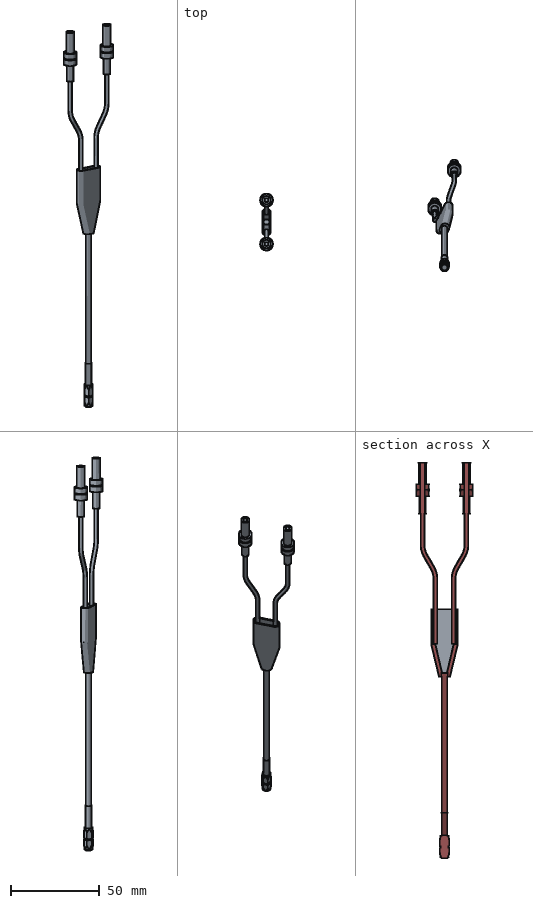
import cadquery as cq
import math

total_length = 222.7
overall_width = 32.0
collar_diameter = 7.3
lead_offset = (overall_width - collar_diameter) / 2

collar_top = 210.7
collar_middle = 207.3
collar_bottom = 203.8
collar_chamfer = 0.33
plug_nose_diameter = 4.7
barrel_diameter = 4.0
barrel_bottom = 194.0

wire_diameter = 2.2
wire_end_offset = 5.1
bend_radius = 12.7
bend_angle = 30.0
bend_top = 176.5

splitter_top = 140.3
splitter_knee = 120.7
splitter_bottom = 102.2
splitter_thickness = 5.0
neck_width = 6.2
cavity_thickness = 3.3
throat_floor_width = 2.7

cable_diameter = 3.3
ferrule_diameter = 3.5
cable_bottom = 25.5
cable_insertion = 2.2
cable_top = splitter_bottom + cable_insertion

head_top = 13.0
hex_across_flats = 4.7
hex_across_corners = hex_across_flats / math.cos(math.pi / 6)
groove_diameter = 4.0
hex_top = 12.2
groove_top = 7.1
groove_bottom = 5.8
hex_bottom = 1.3
hex_chamfer = 1.8
tip_chamfer = 0.7


def revolved(profile, offset):
    """Revolve (radius, z) points about the vertical axis at Y = offset."""
    points = [(-radius, z) for radius, z in profile]
    solid = cq.Workplane("XZ").polyline(points).close().revolve(360, (0, 0), (0, 1))
    return solid.translate((0, offset, 0))


def rod(diameter, bottom, top):
    """Solid round bar on the central axis."""
    radius = diameter / 2
    return revolved([(0, bottom), (radius, bottom), (radius, top), (0, top)], 0)


def plug_front(offset):
    """Nose and upper half of the collar, bored for the wire."""
    bore = wire_diameter / 2
    nose = plug_nose_diameter / 2
    collar = collar_diameter / 2
    return revolved(
        [
            (bore, collar_middle),
            (collar - collar_chamfer, collar_middle),
            (collar, collar_middle + collar_chamfer),
            (collar, collar_top),
            (nose, collar_top),
            (nose, total_length),
            (bore, total_length),
        ],
        offset,
    )


def plug_rear(offset):
    """Barrel and lower half of the collar, bored for the wire."""
    bore = wire_diameter / 2
    barrel = barrel_diameter / 2
    collar = collar_diameter / 2
    return revolved(
        [
            (bore, barrel_bottom),
            (barrel, barrel_bottom),
            (barrel, collar_bottom),
            (collar, collar_bottom),
            (collar, collar_middle - collar_chamfer),
            (collar - collar_chamfer, collar_middle),
            (bore, collar_middle),
        ],
        offset,
    )


def wire(side):
    """Round wire with an S-bend from the plug to the splitter; side is +1 or -1 along Y."""
    angle = math.radians(bend_angle)
    arc_shift = bend_radius * (1 - math.cos(angle))
    arc_drop = bend_radius * math.sin(angle)
    slant_shift = lead_offset - wire_end_offset - 2 * arc_shift
    slant_drop = slant_shift / math.tan(angle)
    half_shift = bend_radius * (1 - math.cos(angle / 2))
    half_drop = bend_radius * math.sin(angle / 2)
    slant_top = bend_top - arc_drop
    slant_bottom = slant_top - slant_drop
    bend_bottom = slant_bottom - arc_drop
    path = (
        cq.Workplane("YZ")
        .moveTo(side * lead_offset, total_length)
        .lineTo(side * lead_offset, bend_top)
        .threePointArc(
            (side * (lead_offset - half_shift), bend_top - half_drop),
            (side * (lead_offset - arc_shift), slant_top),
        )
        .lineTo(side * (wire_end_offset + arc_shift), slant_bottom)
        .threePointArc(
            (side * (wire_end_offset + half_shift), bend_bottom + half_drop),
            (side * wire_end_offset, bend_bottom),
        )
        .lineTo(side * wire_end_offset, splitter_knee)
    )
    start = cq.Workplane("XY", origin=(0, side * lead_offset, total_length))
    return start.circle(wire_diameter / 2).sweep(path)


def slot_column(thickness):
    """Upright round-sided column above the knee, its side axes in line with the wire ends."""
    return (
        cq.Workplane("XY", origin=(0, 0, splitter_knee))
        .slot2D(2 * wire_end_offset + thickness, thickness, 90)
        .extrude(splitter_top - splitter_knee)
    )


def splitter():
    """Hollow splitter: open at the top for the wires, tapered below the knee to the cable."""
    taper = (
        cq.Workplane("XY", origin=(0, 0, splitter_bottom))
        .slot2D(neck_width, splitter_thickness, 90)
        .workplane(offset=splitter_knee - splitter_bottom)
        .slot2D(2 * wire_end_offset + splitter_thickness, splitter_thickness, 90)
        .loft(ruled=True)
    )
    throat = (
        cq.Workplane("YZ")
        .polyline(
            [
                (-throat_floor_width / 2, cable_top),
                (throat_floor_width / 2, cable_top),
                (wire_end_offset, splitter_knee),
                (-wire_end_offset, splitter_knee),
            ]
        )
        .close()
        .extrude(cavity_thickness / 2, both=True)
    )
    cable_socket = rod(cable_diameter, splitter_bottom, cable_top)
    shell = slot_column(splitter_thickness).union(taper)
    return shell.cut(slot_column(cavity_thickness)).cut(throat).cut(cable_socket)


def head():
    """Two hexagonal bands with chamfered corners, parted by a V-groove, on round ends."""
    corner = hex_across_corners / 2
    groove = groove_diameter / 2
    flat = hex_across_flats / 2
    envelope = revolved(
        [
            (0, 0),
            (flat - tip_chamfer, 0),
            (flat, tip_chamfer),
            (flat, hex_bottom),
            (corner, hex_bottom + hex_chamfer),
            (corner, groove_bottom),
            (groove, (groove_bottom + groove_top) / 2),
            (corner, groove_top),
            (corner, hex_top - hex_chamfer),
            (flat, hex_top),
            (flat, head_top),
            (0, head_top),
        ],
        0,
    )
    prism = cq.Workplane("XY").polygon(6, hex_across_corners).extrude(head_top)
    return prism.rotate((0, 0, 0), (0, 0, 1), 90).intersect(envelope)


lead_bodies = []
for side in (-1, 1):
    lead_bodies.append(plug_front(side * lead_offset).val())
    lead_bodies.append(plug_rear(side * lead_offset).val())
    lead_bodies.append(wire(side).val())

cable = rod(cable_diameter, cable_bottom, cable_top)
ferrule = rod(ferrule_diameter, head_top, cable_bottom)

result = cq.Compound.makeCompound(
    [
        splitter().val(),
        cable.val(),
        ferrule.val(),
        head().val(),
        *lead_bodies,
    ]
)